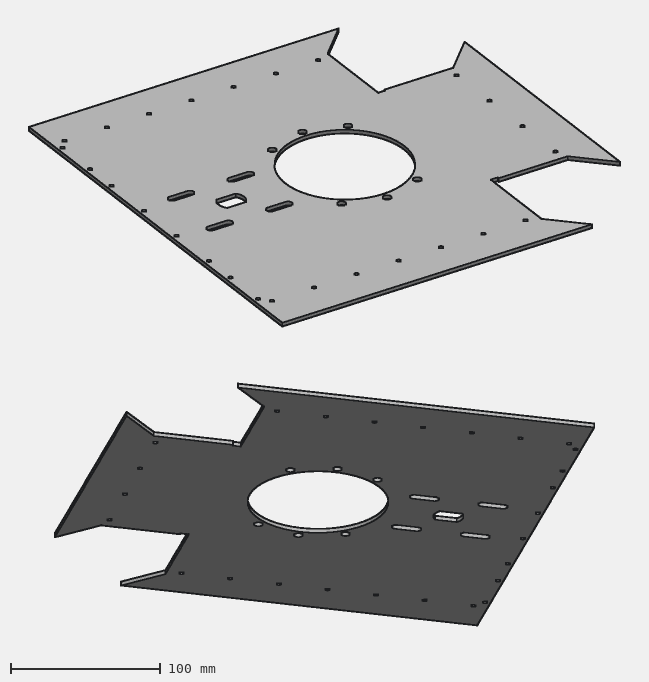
import cadquery as cq
import math

width = 313.0
length = 306.5
thickness = 3.0
half_width = width / 2

wing_length = 221.0
side_flange_length = 245.5
side_mitre = side_flange_length - wing_length

neck_half_width = 69.5
back_panel_half_width = 70.8
back_panel_start = 226.7
back_panel_end = 281.2
back_mitre = length - back_panel_end

opening_diameter = 94.0
opening_y = 150.0
bolt_circle_radius = 52.3
bolt_hole_diameter = 6.0
bolt_angle = 35.0

slot_width = 6.0
slot_length = 20.0
slot_x = 23.8
slot_pitch = 47.3
slot_group_y = 59.2
flatted_hole_diameter = 20.0
flatted_hole_width = 13.0
flatted_hole_y = 60.0

rivet_diameter = 3.0
front_rivet_y = 3.8
base_rivet_pitch = 40.0
wing_front_rivets_x = (86.7, 121.0)
wing_rivet_x = 128.0
wing_rivet_start = 10.0
wing_rivet_pitch = 33.5
wing_rivet_count = 7
back_rivet_y = 277.8
back_rivet_pitch = 40.7
rivets_per_row = 4


def row(pitch, count):
    """Evenly spaced positions centred on zero."""
    return [(i - (count - 1) / 2) * pitch for i in range(count)]


def drill(body, diameter, centres):
    """Cut round through holes at the given centres."""
    cutter = cq.Workplane("XY").pushPoints(centres).circle(diameter / 2).extrude(thickness)
    return body.cut(cutter)


right_half = [
    (half_width, 0),
    (half_width, side_flange_length),
    (half_width - side_mitre, wing_length),
    (neck_half_width, wing_length),
    (neck_half_width, back_panel_start),
    (back_panel_half_width, back_panel_start),
    (back_panel_half_width, back_panel_end),
    (back_panel_half_width + back_mitre, length),
]
left_half = [(-x, y) for x, y in reversed(right_half)]
sheet = cq.Workplane("XY").polyline(right_half + left_half).close().extrude(thickness)

sheet = drill(sheet, opening_diameter, [(0, opening_y)])
bolt_centres = []
for start in (0, 180):
    for step in (-bolt_angle, 0, bolt_angle):
        angle = math.radians(start + step)
        x = bolt_circle_radius * math.cos(angle)
        y = opening_y + bolt_circle_radius * math.sin(angle)
        bolt_centres.append((x, y))
sheet = drill(sheet, bolt_hole_diameter, bolt_centres)

slot_centres = [(x, slot_group_y + y) for x in (-slot_x, slot_x) for y in row(slot_pitch, 2)]
slots = cq.Workplane("XY").pushPoints(slot_centres).slot2D(slot_length, slot_width, 90).extrude(thickness)
sheet = sheet.cut(slots)

flatted_hole = (
    cq.Workplane("XY")
    .circle(flatted_hole_diameter / 2)
    .extrude(thickness)
    .intersect(cq.Workplane("XY").box(flatted_hole_width, flatted_hole_diameter, 2 * thickness))
    .translate((0, flatted_hole_y, 0))
)
sheet = sheet.cut(flatted_hole)

rivets = [(x, front_rivet_y) for x in row(base_rivet_pitch, rivets_per_row)]
rivets += [(x, back_rivet_y) for x in row(back_rivet_pitch, rivets_per_row)]
for side in (-1, 1):
    rivets += [(side * x, front_rivet_y) for x in wing_front_rivets_x]
    for i in range(wing_rivet_count):
        rivets.append((side * wing_rivet_x, wing_rivet_start + i * wing_rivet_pitch))
result = drill(sheet, rivet_diameter, rivets)